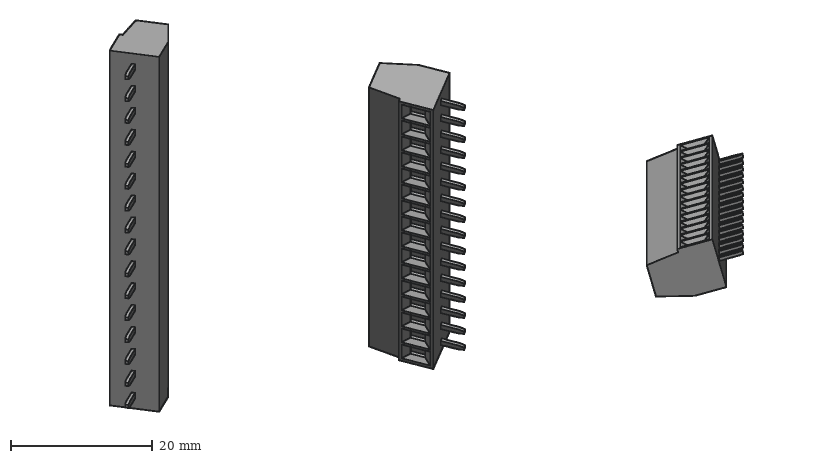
import cadquery as cq

pole_count = 16
pitch = 3.5
end_margin = 2.1
strip_length = (pole_count - 1) * pitch + 2 * end_margin

body_width = 7.3
body_depth = 10.0
ledge_y = 5.2
ledge_width = 0.5
shoulder_y = 4.7
crest_left_x = 1.1
crest_right_x = 5.9

entry_centre_y = 2.6
entry_mouth_y = 4.3
entry_mouth_z = 3.0
socket_y = 2.2
socket_z = 2.0
funnel_depth = 0.8
socket_depth = 0.5

pin_x = 3.5
pin_thickness = 0.5
pin_width = 0.9
pin_length = 3.5
pin_taper_length = 0.75
pin_tip_width = 0.5


def make_housing():
    profile = [
        (0, 0),
        (body_width, 0),
        (body_width, shoulder_y),
        (crest_right_x, body_depth),
        (crest_left_x, body_depth),
        (ledge_width, ledge_y),
        (0, ledge_y),
    ]
    return cq.Workplane("XY").polyline(profile).close().extrude(strip_length)


def make_wire_entry(pole_z):
    """Pocket to be cut into the -X face: tapered funnel, then straight socket."""
    funnel = (
        cq.Workplane("YZ", origin=(0, entry_centre_y, pole_z))
        .rect(entry_mouth_y, entry_mouth_z)
        .workplane(offset=funnel_depth)
        .rect(socket_y, socket_z)
        .loft(ruled=True)
    )
    socket = (
        cq.Workplane("YZ", origin=(funnel_depth, entry_centre_y, pole_z))
        .rect(socket_y, socket_z)
        .extrude(socket_depth)
    )
    return funnel.union(socket)


def make_pin(pole_z):
    """Flat pin along -Y whose width narrows towards the tip."""
    taper_start_y = -(pin_length - pin_taper_length)
    outline = [
        (0, -pin_width / 2),
        (taper_start_y, -pin_width / 2),
        (-pin_length, -pin_tip_width / 2),
        (-pin_length, pin_tip_width / 2),
        (taper_start_y, pin_width / 2),
        (0, pin_width / 2),
    ]
    blank = cq.Workplane("YZ", origin=(pin_x - pin_thickness / 2, 0, pole_z))
    return blank.polyline(outline).close().extrude(pin_thickness)


result = make_housing()
for pole in range(pole_count):
    pole_z = end_margin + pole * pitch
    result = result.cut(make_wire_entry(pole_z))
    result = result.union(make_pin(pole_z))